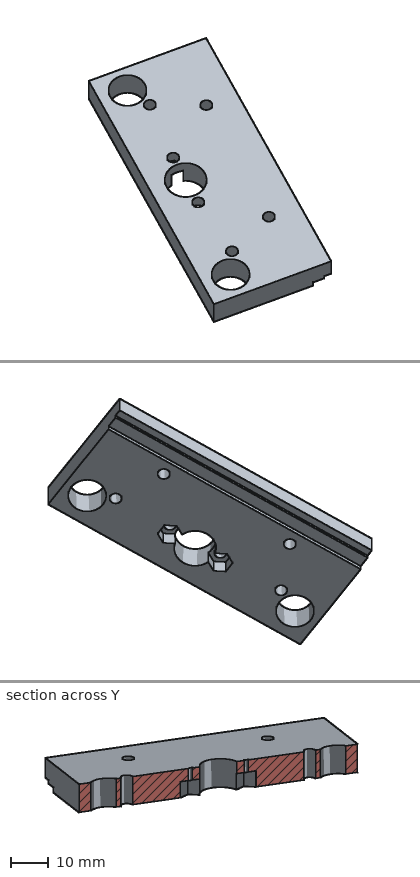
import cadquery as cq
import math

length = 80.0
width = 34.0
thickness = 8.0

outer_step_depth = 2.0
outer_step_height = 2.4
inner_step_depth = 5.3
inner_step_height = 1.4

screw_diameter = 3.2
rear_screw_x = 20.0
rear_screw_y = 8.0
front_screw_x = 26.2
front_screw_y = -5.5
end_bore_diameter = 10.0
end_bore_x = 33.0
end_bore_y = -9.0
centre_bore_diameter = 11.0
centre_bore_y = -7.0
centre_screw_x = 8.0

nut_across_flats = 5.6
nut_pocket_depth = 4.5


def make_plate():
    """Extrude the stepped YZ profile along the whole length."""
    front = -width / 2
    rear = width / 2
    profile = [
        (front, 0),
        (rear - inner_step_depth, 0),
        (rear - inner_step_depth, inner_step_height),
        (rear - outer_step_depth, inner_step_height),
        (rear - outer_step_depth, outer_step_height),
        (rear, outer_step_height),
        (rear, thickness),
        (front, thickness),
    ]
    return cq.Workplane("YZ").polyline(profile).close().extrude(length / 2, both=True)


def mirrored(x, y):
    return [(-x, y), (x, y)]


def cylinders(points, diameter, height):
    """Vertical cutters rising from the underside."""
    return cq.Workplane("XY").pushPoints(points).circle(diameter / 2).extrude(height)


def nut_pockets(points):
    """Hexagonal cutters rising from the underside, with two flats facing +X and -X."""
    across_corners = nut_across_flats / math.cos(math.pi / 6)
    hexagon = cq.Sketch().regularPolygon(across_corners / 2, 6)
    return cq.Workplane("XY").pushPoints(points).placeSketch(hexagon).extrude(nut_pocket_depth)


centre_screws = mirrored(centre_screw_x, centre_bore_y)
screw_holes = (
    mirrored(rear_screw_x, rear_screw_y)
    + mirrored(front_screw_x, front_screw_y)
    + centre_screws
)

result = make_plate()
result = result.cut(cylinders(screw_holes, screw_diameter, thickness))
result = result.cut(cylinders(mirrored(end_bore_x, end_bore_y), end_bore_diameter, thickness))
result = result.cut(cylinders([(0, centre_bore_y)], centre_bore_diameter, thickness))
result = result.cut(nut_pockets(centre_screws))